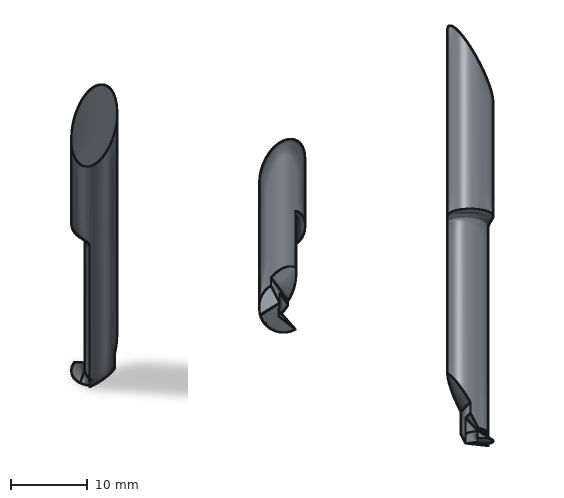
import cadquery as cq
import math

shank_radius = 3.0
total_height = 57.45
top_cut_angle = 60.0
neck_axis_x = 2.05
neck_radius = shank_radius
step_height = 31.55
step_fillet = 1.0
neck_end_height = 1.95
neck_end_chamfer = 0.25
corner_height = 0.53
end_chamfer_angle = 45.0

flat_y = 0.3
runout_angle = 60.0
flat_runout_height = 5.55
groove_runout_height = 4.05
rake_angle = 18.0
groove_wall_angle = 40.0

tip_flank_slope = 45.0
bottom_slope_x = 0.133
bottom_slope_y = 0.1
flank_corner_x = -0.3
shoulder_x = -0.67
shoulder_y = -0.8

seat_x = neck_axis_x / 2
seat_y = -math.sqrt(shank_radius**2 - seat_x**2)
point_x = -shank_radius
rake_slope = math.tan(math.radians(rake_angle))
wall_slope = math.tan(math.radians(groove_wall_angle))
groove_x = (wall_slope * seat_x - flat_y - rake_slope * -point_x) / (wall_slope + rake_slope)
big = 4 * shank_radius


def rake_y(x):
    """Y of the rake face at a given X."""
    return -rake_slope * (x - point_x)


def bottom_z(x, y):
    """Height of the sloping underside of the tip, zero at its point."""
    return bottom_slope_x * (x - point_x) - bottom_slope_y * y


def top_cutter():
    """Wedge above the sloping top face, which is highest on the +Y side."""
    drop = 2 * shank_radius * math.tan(math.radians(top_cut_angle))
    return (
        cq.Workplane("YZ")
        .moveTo(shank_radius, total_height)
        .lineTo(-shank_radius, total_height - drop)
        .lineTo(-shank_radius, total_height)
        .close()
        .extrude(big, both=True)
    )


def neck_cutter():
    """Ring around the neck axis that leaves the neck, its top fillet and its end chamfer."""
    fillet_center_z = step_height - step_fillet
    fillet_reach = step_fillet * math.sqrt(0.5)
    fillet_middle = (
        neck_radius + step_fillet - fillet_reach,
        fillet_center_z + fillet_reach,
    )
    return (
        cq.Workplane("XZ", origin=(neck_axis_x, 0, 0))
        .moveTo(neck_radius - neck_end_chamfer, neck_end_height)
        .lineTo(neck_radius, neck_end_height + neck_end_chamfer)
        .lineTo(neck_radius, fillet_center_z)
        .threePointArc(fillet_middle, (neck_radius + step_fillet, step_height))
        .lineTo(big, step_height)
        .lineTo(big, neck_end_height)
        .close()
        .revolve(360, (0, 0, 0), (0, 1, 0))
    )


def seat_cutter():
    """Block that clears the seat of the cutting tip below the neck."""
    return (
        cq.Workplane("XY", origin=(seat_x - big, 0, -big))
        .box(big, big, neck_end_height + big, centered=(False, True, False))
    )


def end_chamfer_cutter():
    """Wedge below the slanted lower end of the bar."""
    run = shank_radius + seat_x
    rise = run * math.tan(math.radians(end_chamfer_angle))
    return (
        cq.Workplane("XZ")
        .moveTo(seat_x - run, corner_height - rise)
        .lineTo(seat_x + run, corner_height + rise)
        .lineTo(seat_x + run, corner_height - rise)
        .close()
        .extrude(big, both=True)
    )


def runout_prism(y, height):
    """Space below a slope that rises toward +Y from the given Y and height."""
    rise = big * math.tan(math.radians(runout_angle))
    return (
        cq.Workplane("YZ")
        .moveTo(y - big, height - rise)
        .lineTo(y + big, height + rise)
        .lineTo(y + big, height - rise)
        .close()
        .extrude(big, both=True)
    )


def flat_cutter():
    """Flat on the +Y side, running out upward along a slope."""
    side = (
        cq.Workplane("XY", origin=(0, flat_y, 0))
        .box(2 * big, big, 2 * big, centered=(True, False, True))
    )
    return side.intersect(runout_prism(flat_y, flat_runout_height))


def groove_cutter():
    """V groove between the rake face and the groove wall, with its own sloping runout."""
    groove = (
        cq.Workplane("XY", origin=(0, 0, -big))
        .moveTo(seat_x, flat_y)
        .lineTo(groove_x, rake_y(groove_x))
        .lineTo(-big, rake_y(-big))
        .lineTo(-big, big)
        .lineTo(seat_x, big)
        .close()
        .extrude(2 * big)
    )
    return groove.intersect(runout_prism(flat_y, groove_runout_height))


def make_bar():
    shank = cq.Workplane("XY").circle(shank_radius).extrude(total_height)
    return (
        shank.cut(top_cutter())
        .cut(neck_cutter())
        .cut(seat_cutter())
        .cut(end_chamfer_cutter())
        .cut(flat_cutter())
        .cut(groove_cutter())
    )


def outline(corners):
    """Closed wire from (corner, middle) pairs: an arc to the next corner, or a line without a middle."""
    edges = []
    for index, (start, middle) in enumerate(corners):
        end = corners[(index + 1) % len(corners)][0]
        if middle is None:
            edges.append(cq.Edge.makeLine(start, end))
        else:
            edges.append(cq.Edge.makeThreePointArc(start, middle, end))
    return cq.Wire.assembleEdges(edges)


def on_bottom(x, y):
    """Point of the underside at a given X and Y."""
    return cq.Vector(x, y, bottom_z(x, y))


def on_shank_bottom(x):
    """Point of the underside on the -Y half of the shank circle."""
    return on_bottom(x, -math.sqrt(shank_radius**2 - x**2))


def on_top(x, y):
    """Point at the end of the neck, where the tip meets the bar."""
    return cq.Vector(x, y, neck_end_height)


def make_tip():
    """Cutting tip: ruled flanks from the underside up to the end of the neck."""
    front_middle_x = -shank_radius * math.sqrt(0.5)
    side_middle_x = (flank_corner_x + seat_x) / 2
    bottom = outline(
        [
            (on_bottom(point_x, 0), on_shank_bottom(front_middle_x)),
            (on_shank_bottom(flank_corner_x), on_shank_bottom(side_middle_x)),
            (on_shank_bottom(seat_x), None),
            (on_bottom(seat_x, flat_y), None),
            (on_bottom(groove_x, rake_y(groove_x)), None),
        ]
    )

    edge_x = point_x + neck_end_height / math.tan(math.radians(tip_flank_slope))
    middle_y = (shoulder_y + seat_y) / 2
    middle_x = neck_axis_x - math.sqrt((neck_radius - neck_end_chamfer)**2 - middle_y**2)
    side_middle = on_top(middle_x, middle_y)
    top = outline(
        [
            (on_top(edge_x, rake_y(edge_x)), None),
            (on_top(shoulder_x, shoulder_y), side_middle),
            (on_top(seat_x, seat_y), None),
            (on_top(seat_x, flat_y), None),
            (on_top(groove_x, rake_y(groove_x)), None),
        ]
    )
    return cq.Workplane(cq.Solid.makeLoft([bottom, top], True))


bar = make_bar()
tip = make_tip()

result = cq.Compound.makeCompound([bar.solids().val(), tip.val()])